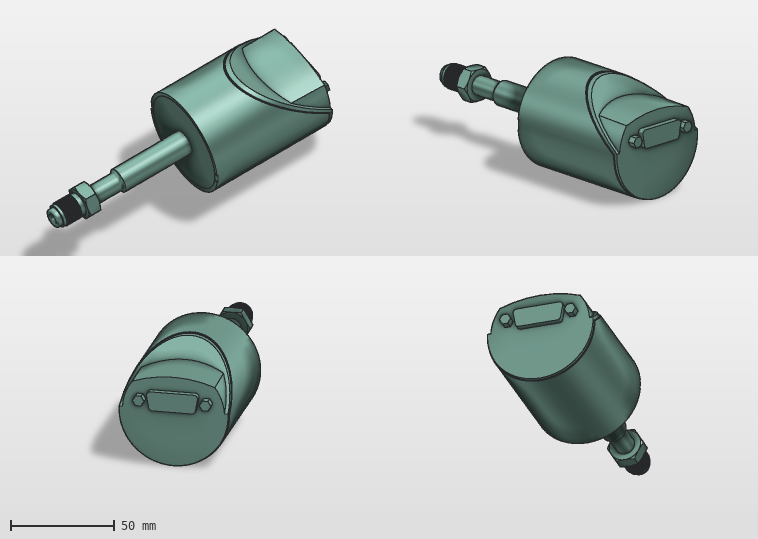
import cadquery as cq
import math


body_dia = 55.0
body_length = 69.1
lip_dia = 54.2
lip_width = 1.7
step_dia = 54.5
step_width = 0.3
slope_angle = 34.5
slope_start_z = 1.7

core_dia = 50.9
roof_edge_x = 20.6
roof_crown_z = 18.5
roof_tilt = 0.9

disc_recess = 0.2
notch_depth = 0.5
notch_half_angle = 5.5

connector_z = 6.4
shell_width = 26.1
shell_height = 9.7
shell_depth = 3.2
shell_corner = 1.8
shell_side_angle = 10.0
post_spacing = 33.3
post_flats = 5.0
post_length = 4.0

stem_dia = 12.8
stem_length = 39.3
shoulder_radius = 1.8
neck_dia = 9.9
nut_start = 55.7
nut_length = 7.0
nut_flats = 16.1
nut_chamfer_angle = 30.0
collar_dia = 11.8
collar_end = 75.9
fitting_end = 151.8 - body_length - post_length
rim_round = 1.0

thread_start = 65.3
thread_length = 9.0
thread_dia = 12.8
thread_root_dia = 11.7
thread_count = 14

bore_dia = 5.5
bore_steps = [(bore_dia, 13.7), (4.5, 15.2), (3.3, 16.7), (2.9, 18.2), (1.3, 19.7)]

SPAN = 2 * body_dia


def cylinder(dia, y_from, y_to):
    """Solid cylinder on the Y axis between two Y positions."""
    return cq.Workplane("XZ", origin=(0, y_from, 0)).circle(dia / 2).extrude(y_from - y_to)


def hexagon(flats, y_from, y_to):
    """Hexagonal bar on the Y axis with corners toward +X and -X."""
    corners = flats / math.cos(math.radians(30))
    return cq.Workplane("XZ", origin=(0, y_from, 0)).polygon(6, corners).extrude(y_from - y_to)


def revolve_profile(points):
    """Turn a closed (radius, Y) outline around the Y axis."""
    return cq.Workplane("XY").polyline(points).close().revolve(360, (0, 0, 0), (0, 1, 0))


def rear_limit(offset):
    """Block filling everything ahead of the rear face and slanted cut, both moved inward by offset."""
    slope = math.radians(slope_angle)
    rear_y = body_length - offset
    corner_z = slope_start_z - offset * (1 - math.sin(slope)) / math.cos(slope)
    run = SPAN / math.tan(slope)
    outline = [
        (rear_y, -SPAN),
        (rear_y, corner_z),
        (rear_y - run, corner_z + SPAN),
        (-SPAN, corner_z + SPAN),
        (-SPAN, -SPAN),
    ]
    return cq.Workplane("YZ").polyline(outline).close().extrude(SPAN, both=True)


def make_body():
    """Round body whose rear end steps up from the lip to the full diameter."""
    body = cylinder(lip_dia, 0, body_length).intersect(rear_limit(0))
    for dia, offset in ((step_dia, lip_width), (body_dia, lip_width + step_width)):
        body = body.union(cylinder(dia, 0, body_length).intersect(rear_limit(offset)))
    return body


def make_housing():
    """Round core behind the slanted cut, topped by a shallow arched roof."""
    core_radius = core_dia / 2
    edge_z = math.sqrt(core_radius**2 - roof_edge_x**2)
    core = cylinder(core_dia, body_length / 2, body_length)
    above_roof = (
        cq.Workplane("XZ", origin=(0, body_length, 0))
        .moveTo(-roof_edge_x, edge_z)
        .threePointArc((0, roof_crown_z), (roof_edge_x, edge_z))
        .lineTo(SPAN, edge_z)
        .lineTo(SPAN, SPAN)
        .lineTo(-SPAN, SPAN)
        .lineTo(-SPAN, edge_z)
        .close()
        .extrude(SPAN)
    )
    above_roof = above_roof.rotate((0, body_length, 0), (1, body_length, 0), -roof_tilt)
    return core.cut(above_roof)


def cut_front_face(part):
    """Recess the front disc inside its rim and bevel the rim at +X and -X."""
    part = part.cut(cylinder(core_dia, 0, disc_recess))
    inner = core_dia / 2
    outer = body_dia / 2
    bevel = [(inner, 0), (outer, 0), (outer, notch_depth)]
    for middle in (0, 180):
        notch = (
            cq.Workplane("XY").polyline(bevel).close()
            .revolve(2 * notch_half_angle, (0, 0, 0), (0, 1, 0))
            .rotate((0, 0, 0), (0, 1, 0), middle - notch_half_angle)
        )
        part = part.cut(notch)
    return part


def make_connector():
    """D-shaped connector shell, wider at the top, between two hexagonal posts."""
    half = shell_width / 2
    taper = shell_height * math.tan(math.radians(shell_side_angle))
    bottom = connector_z - shell_height / 2
    top = connector_z + shell_height / 2
    outline = [(-half, top), (half, top), (half - taper, bottom), (-half + taper, bottom)]
    connector = (
        cq.Workplane("XZ", origin=(0, body_length, 0))
        .polyline(outline).close()
        .extrude(-shell_depth)
        .edges("|Y").fillet(shell_corner)
    )
    for x in (-post_spacing / 2, post_spacing / 2):
        post = hexagon(post_flats, body_length, body_length + post_length)
        connector = connector.union(post.translate((x, 0, connector_z)))
    return connector


def make_stem():
    """Stem, concave shoulder and neck up to the nut."""
    stem_radius = stem_dia / 2
    neck_radius = neck_dia / 2
    shoulder_y = -stem_length
    rise = stem_radius - neck_radius
    arc_end = math.acos(1 - rise / shoulder_radius)
    blend_length = shoulder_radius * math.sin(arc_end)
    middle_rise = shoulder_radius * (1 - math.cos(arc_end / 2))
    middle_back = shoulder_radius * math.sin(arc_end / 2)
    return (
        cq.Workplane("XY")
        .moveTo(0, disc_recess)
        .lineTo(stem_radius, disc_recess)
        .lineTo(stem_radius, shoulder_y)
        .threePointArc(
            (neck_radius + middle_rise, shoulder_y - blend_length + middle_back),
            (neck_radius, shoulder_y - blend_length),
        )
        .lineTo(neck_radius, -nut_start)
        .lineTo(0, -nut_start)
        .close()
        .revolve(360, (0, 0, 0), (0, 1, 0))
    )


def make_nut():
    """Hexagonal nut with the corners turned off at both ends."""
    nut_end = nut_start + nut_length
    flat_radius = nut_flats / 2
    outer_radius = nut_flats
    bevel = (outer_radius - flat_radius) * math.tan(math.radians(nut_chamfer_angle))
    turned = revolve_profile([
        (0, -nut_start),
        (flat_radius, -nut_start),
        (outer_radius, -nut_start - bevel),
        (outer_radius, -nut_end + bevel),
        (flat_radius, -nut_end),
        (0, -nut_end),
    ])
    return hexagon(nut_flats, -nut_start, -nut_end).intersect(turned)


def make_threaded_end():
    """Collar with thread ridges, ending in a rounded sealing rim around a stepped bore."""
    nut_end = nut_start + nut_length
    pitch = thread_length / thread_count
    root = thread_root_dia / 2
    collar = collar_dia / 2
    outline = [(0, -nut_end), (collar, -nut_end), (collar, -thread_start), (root, -thread_start)]
    for index in range(thread_count):
        ridge_start = thread_start + index * pitch
        outline.append((thread_dia / 2, -ridge_start - pitch / 2))
        outline.append((root, -ridge_start - pitch))
    outline += [(collar, -thread_start - thread_length), (collar, -collar_end), (0, -collar_end)]
    end = revolve_profile(outline)
    tip = cylinder(neck_dia, -collar_end, -fitting_end)
    tip = tip.cut(cylinder(bore_dia, -collar_end, -fitting_end))
    tip = tip.faces("<Y").edges().fillet(rim_round)
    return end.union(tip)


def cut_bore(part):
    """Cut the stepped bore, each step narrower and deeper than the one before."""
    for dia, depth in bore_steps:
        part = part.cut(cylinder(dia, -fitting_end + depth, -fitting_end))
    return part


result = cut_front_face(make_body().union(make_housing()))
for piece in (make_connector(), make_stem(), make_nut(), make_threaded_end()):
    result = result.union(piece)
result = cut_bore(result)